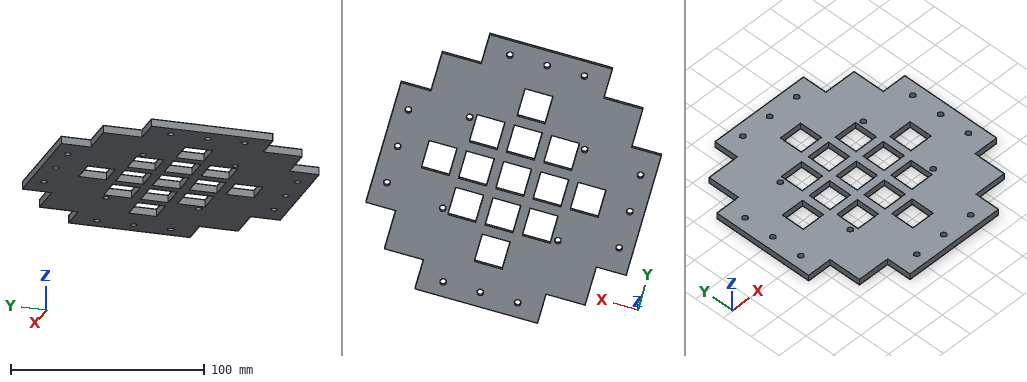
import cadquery as cq

plate_span = 140.0
body_width = 108.0
arm_width = 66.0
thickness = 4.0

window_size = 15.0
grid_pitch = 20.0
window_reach = 2

hole_diameter = 3.4
edge_hole_offset = 62.5
inner_hole_x = 31.0
inner_hole_y = 25.0


def centred_plate(length, width):
    return cq.Workplane("XY").rect(length, width).extrude(thickness)


def diamond_points():
    steps = range(-window_reach, window_reach + 1)
    return [
        (column * grid_pitch, row * grid_pitch)
        for column in steps
        for row in steps
        if abs(column) + abs(row) <= window_reach
    ]


def edge_hole_points():
    points = []
    for side in (-1, 1):
        for step in (-1, 0, 1):
            along = step * grid_pitch
            across = side * edge_hole_offset
            points.append((along, across))
            points.append((across, along))
    return points


def inner_hole_points():
    return [(x, y) for x in (-inner_hole_x, inner_hole_x) for y in (-inner_hole_y, inner_hole_y)]


plate = (
    centred_plate(body_width, body_width)
    .union(centred_plate(plate_span, arm_width))
    .union(centred_plate(arm_width, plate_span))
)

windows = (
    cq.Workplane("XY")
    .pushPoints(diamond_points())
    .rect(window_size, window_size)
    .extrude(thickness)
)
holes = (
    cq.Workplane("XY")
    .pushPoints(edge_hole_points() + inner_hole_points())
    .circle(hole_diameter / 2)
    .extrude(thickness)
)

result = plate.cut(windows).cut(holes)